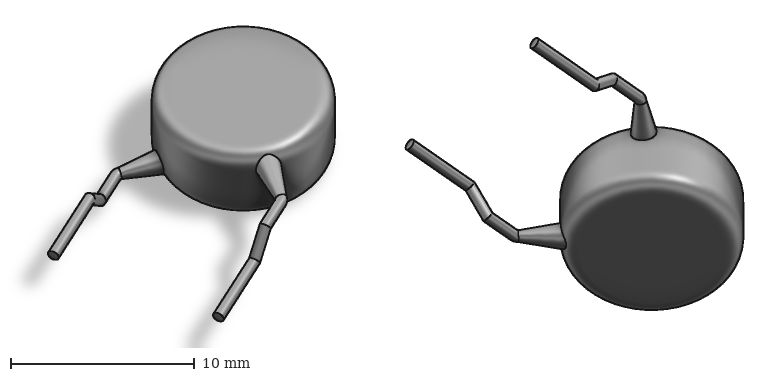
import cadquery as cq
import math

OVERALL_LENGTH = 18.3
DISC_DIAMETER = 10.0
DISC_THICKNESS = 5.0
DISC_EDGE_RADIUS = 1.0

LEAD_DIAMETER = 0.65
LEAD_SPACING = 10.0
LEAD_ELBOW_RADIUS = 0.4
LEAD_ELBOW_END_Y = -5.62
KINK_START_Y = -7.5
KINK_END_Y = -8.82

CONE_AXIS_ANGLE = 47.0
CONE_HALF_ANGLE = 9.5

disc_radius = DISC_DIAMETER / 2
lead_radius = LEAD_DIAMETER / 2
lead_x = LEAD_SPACING / 2
lead_z = DISC_THICKNESS / 2 - DISC_EDGE_RADIUS
lead_tip_y = disc_radius - OVERALL_LENGTH

elbow_turn = 90 - CONE_AXIS_ANGLE
elbow_end = cq.Vector(lead_x, LEAD_ELBOW_END_Y, lead_z)
elbow_centre = elbow_end - cq.Vector(LEAD_ELBOW_RADIUS, 0, 0)
cone_direction = cq.Vector(
    -math.cos(math.radians(CONE_AXIS_ANGLE)),
    math.sin(math.radians(CONE_AXIS_ANGLE)),
    0,
)
cone_tip_centre = elbow_centre + LEAD_ELBOW_RADIUS * cq.Vector(cone_direction.y, -cone_direction.x, 0)


def make_disc():
    """Disc with its top and bottom edges rounded."""
    disc = cq.Workplane("XY").cylinder(DISC_THICKNESS, disc_radius)
    return disc.faces("|Z").edges().fillet(DISC_EDGE_RADIUS).val()


def make_cone(disc):
    """Coating cone that widens from the elbow to the rim of the disc and ends on its surface."""
    length = disc_radius
    base_radius = lead_radius + length * math.tan(math.radians(CONE_HALF_ANGLE))
    cone = cq.Solid.makeCone(lead_radius, base_radius, length, cone_tip_centre, cone_direction)
    return cone.cut(disc).Solids()[0]


def make_lead():
    """Round wire: elbow at the cone, straight run, kink to the mid-plane, straight end."""
    centreline = cq.Workplane("XY").polyline([
        elbow_end.toTuple(),
        (lead_x, KINK_START_Y, lead_z),
        (lead_x, KINK_END_Y, 0),
        (lead_x, lead_tip_y, 0),
    ])
    section = cq.Workplane("XZ", origin=elbow_end.toTuple())
    wire = section.circle(lead_radius).sweep(centreline, transition="right")

    pivot = (-LEAD_ELBOW_RADIUS, 0)
    pivot_axis_end = (-LEAD_ELBOW_RADIUS, 1)
    elbow = section.circle(lead_radius).revolve(elbow_turn, pivot, pivot_axis_end)
    return wire.union(elbow).val()


disc = make_disc()
cone = make_cone(disc)
lead = make_lead()

cones = []
leads = []
for turn in (0, 180):
    cones.append(cone.rotate((0, 0, 0), (0, 1, 0), turn))
    leads.append(lead.rotate((0, 0, 0), (0, 1, 0), turn))

result = cq.Compound.makeCompound([disc, *cones, *leads])